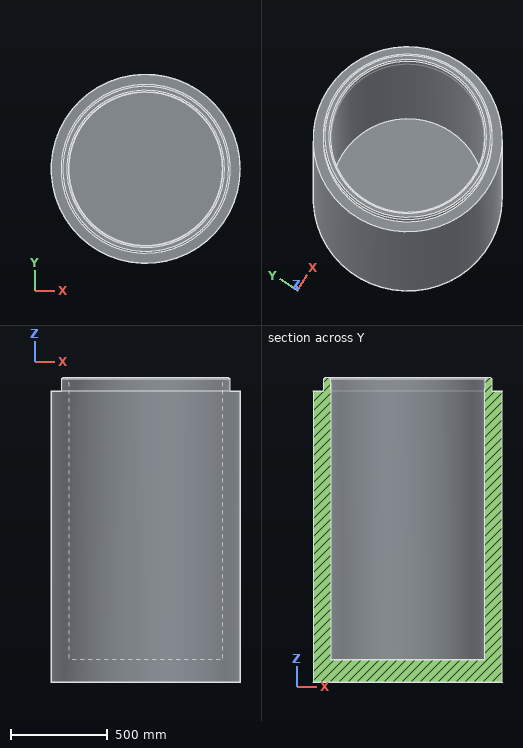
import cadquery as cq

total_height = 1574.0
outer_diameter = 976.0
spigot_diameter = 872.0
spigot_height = 71.0
spigot_chamfer = 10.0
bore_diameter = 792.0
throat_diameter = 796.0
rim_diameter = 812.0
mouth_bevel_depth = 10.0
mouth_depth = 71.0
floor_thickness = 118.0

shoulder_height = total_height - spigot_height

barrel = cq.Workplane("XY").circle(outer_diameter / 2).extrude(shoulder_height)
spigot = (
    cq.Workplane("XY", origin=(0, 0, shoulder_height))
    .circle(spigot_diameter / 2)
    .extrude(spigot_height)
    .faces(">Z")
    .chamfer(spigot_chamfer)
)

cavity = (
    cq.Workplane("XZ")
    .moveTo(0, floor_thickness)
    .lineTo(bore_diameter / 2, floor_thickness)
    .lineTo(bore_diameter / 2, total_height - mouth_depth)
    .lineTo(throat_diameter / 2, total_height - mouth_bevel_depth)
    .lineTo(rim_diameter / 2, total_height)
    .lineTo(0, total_height)
    .close()
    .revolve(360, (0, 0), (0, 1))
)

result = barrel.union(spigot).cut(cavity)